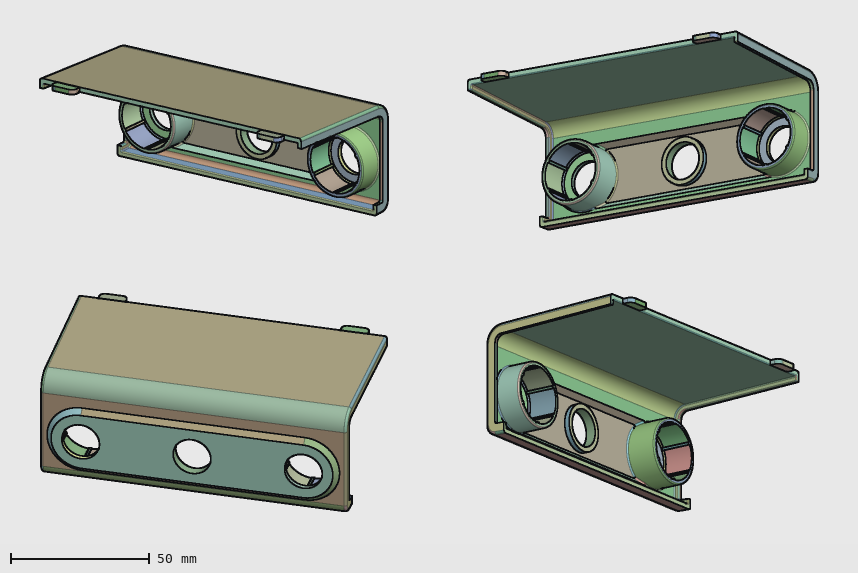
import cadquery as cq
import math


front_width = 115.0
height = 43.46
shelf_reach = 56.0
lip_reach = 8.0
side_draft = 0.5
skin_slope = 2.0

skin = 2.0
skirt_depth = 4.0
skirt_thickness = 1.6
shelf_bend = 7.0
lip_bend = 4.0
lip_inner_bend = 1.7
skirt_lip_bend = 0.7
outer_round = 1.0
rim_round = 0.4
inner_round = 0.4
corner_round = 0.5

axis_z = 17.5
hole_spacing = 41.5
hole_diameter = 14.0
pad_height = 2.0
pad_base_radius = 13.0
flank_angle = 45
recess_mouth_radius = 12.15
sleeve_end = 12.0
sleeve_outer_radius = 12.25
sleeve_inner_radius = 10.75
sleeve_round = 0.5
rib_width = 1.0
rib_height = 0.4
ribs_per_sleeve = 6
collar_diameter = 17.8

tab_spacing = 45.1
tab_width = 10.2
tab_length = 4.0
tab_thickness = 1.9
tab_drop = 0.15
tab_corner = 2.1

half_width = front_width / 2
slope = math.tan(math.radians(skin_slope))
slant = 1 / math.cos(math.radians(skin_slope))
wall_narrowing = shelf_reach * math.tan(math.radians(side_draft))
recess_floor_radius = recess_mouth_radius - skin * math.tan(math.radians(flank_angle))
clearance = 5.0
tolerance = 0.001


def bend_arc(corner_z, radius, turn, wall_y):
    """Start, middle and end of the arc from the wall into a sloping skin meeting it at corner_z.

    turn is +1 for the upper bend and -1 for the lower one.
    """
    swing = math.radians(90 - skin_slope)
    center_y = wall_y - radius
    center_z = corner_z - turn * radius * math.tan((math.pi / 2 - math.radians(skin_slope)) / 2)
    points = []
    for angle in (0, swing / 2, swing):
        points.append((center_y + radius * math.cos(angle), center_z + turn * radius * math.sin(angle)))
    return points


def block(depth, side, lip_radius, edge_round=0):
    """Filled C shape lying a given depth under the outer skin, with half width `side` at the front."""
    top_front = height - depth * slant
    bottom_front = depth * slant
    top_corner = top_front - (shelf_reach - depth) * slope
    bottom_corner = bottom_front + (lip_reach - depth) * slope
    upper = bend_arc(top_corner, shelf_bend - depth, 1, -depth)
    lower = bend_arc(bottom_corner, lip_radius, -1, -depth)
    profile = (
        cq.Workplane("YZ")
        .moveTo(-lip_reach, bottom_front)
        .lineTo(*lower[2])
        .threePointArc(lower[1], lower[0])
        .lineTo(*upper[0])
        .threePointArc(upper[1], upper[2])
        .lineTo(-shelf_reach, top_front)
        .lineTo(-shelf_reach, axis_z)
        .lineTo(-lip_reach, axis_z)
        .close()
    )
    wall_side = side - wall_narrowing
    plan = [(-side, -shelf_reach), (side, -shelf_reach), (wall_side, 0), (-wall_side, 0)]
    body = profile.extrude(side, both=True)
    body = body.intersect(cq.Workplane("XY").polyline(plan).close().extrude(height))
    if edge_round == 0:
        return body

    def on_skin(edge):
        middle = edge.Center()
        return middle.y > -lip_reach or middle.z < bottom_corner or middle.z > top_corner

    side_edges = body.faces("<X or >X").edges().vals()
    return body.newObject([edge for edge in side_edges if on_skin(edge)]).fillet(edge_round)


def shell():
    """Wall, shelf and lip with a skirt along both sides."""
    opening = block(skirt_depth, half_width + clearance, skirt_lip_bend)
    cavity_side = half_width - skirt_thickness
    body = block(0, half_width, lip_bend, outer_round).cut(opening)
    body = body.cut(block(skin, cavity_side, lip_inner_bend, inner_round))

    corner_z = height - skirt_depth * slant
    front_corners = cq.selectors.BoxSelector(
        (-front_width, -shelf_reach - tolerance, corner_z - tolerance),
        (front_width, -shelf_reach + tolerance, corner_z + tolerance),
    )
    body = body.edges("|X").edges(front_corners).fillet(corner_round)

    def on_rim(edge):
        middle = edge.positionAt(0.5)
        if abs(middle.x) > cavity_side + tolerance or not skin / 2 < middle.z < height - skin / 2:
            return False
        at_free_edge = min(abs(middle.y + shelf_reach), abs(middle.y + lip_reach)) < tolerance
        return at_free_edge or opening.val().distance(cq.Vertex.makeVertex(*middle.toTuple())) < corner_round / 2

    return body.newObject([edge for edge in body.edges().vals() if on_rim(edge)]).fillet(rim_round)


def along_y(y):
    """Sketch plane facing +Y at a given Y, centred at the holes' height. Its x runs toward -X."""
    return cq.Workplane("XZ", origin=(0, y, axis_z)).transformed(rotate=(0, 180, 0))


def stadium(y, radius, rise):
    """Long round-ended pad that narrows toward +Y and spans both outer holes."""
    return along_y(y).slot2D(2 * (hole_spacing + radius), 2 * radius).extrude(rise, taper=flank_angle)


def cylinder(x, radius, y_front, y_back):
    return along_y(y_front).center(-x, 0).circle(radius).extrude(y_back - y_front)


def sleeve(x):
    return cylinder(x, sleeve_outer_radius, -sleeve_end, 0).faces("<Y").edges().fillet(sleeve_round)


def round_sleeve_feet(body):
    """Rounds the edges where the sleeves' outer faces meet the wall and its recess."""
    def on_foot(edge):
        return edge.BoundingBox().ymin > -sleeve_end / 2

    def around_sleeve(face):
        return abs(face._geomAdaptor().Cylinder().Radius() - sleeve_outer_radius) < tolerance

    outer_faces = [face for face in body.faces("%CYLINDER").vals() if around_sleeve(face)]
    feet = [edge for face in outer_faces for edge in face.Edges() if on_foot(edge)]
    return body.newObject(feet).fillet(sleeve_round)


def sleeve_bore(x):
    """Bore down to the recess's floor, meeting it with a flank, less the ribs along its wall."""
    bore = cylinder(x, sleeve_inner_radius, -sleeve_end, 0)
    bore = bore.faces(">Y").chamfer(sleeve_inner_radius - recess_floor_radius)
    for index in range(ribs_per_sleeve):
        rib = cq.Workplane("XY").box(2 * rib_height, 2 * sleeve_end, rib_width)
        rib = rib.translate((sleeve_inner_radius, 0, 0))
        rib = rib.rotate((0, 0, 0), (0, 1, 0), 90 + index * 360 / ribs_per_sleeve)
        bore = bore.cut(rib.translate((x, -sleeve_end, axis_z)))
    return bore


def tab(x):
    body = cq.Workplane("XY").box(tab_width, tab_length, tab_thickness, centered=(True, False, False))
    body = body.edges("|Z and <Y").fillet(tab_corner)
    return body.translate((x, -shelf_reach - tab_length, height - tab_drop - tab_thickness))


sides = (-1, 1)
result = shell()

result = result.union(stadium(0, pad_base_radius, pad_height))
result = result.cut(stadium(-skin, recess_mouth_radius, skin))

for side in sides:
    result = result.union(sleeve(side * hole_spacing))
result = round_sleeve_feet(result)
for side in sides:
    result = result.cut(sleeve_bore(side * hole_spacing))
result = result.union(cylinder(0, collar_diameter / 2, -skin, 0))

for x in (-hole_spacing, 0, hole_spacing):
    result = result.cut(cylinder(x, hole_diameter / 2, -sleeve_end, pad_height))

for side in sides:
    result = result.union(tab(side * tab_spacing))